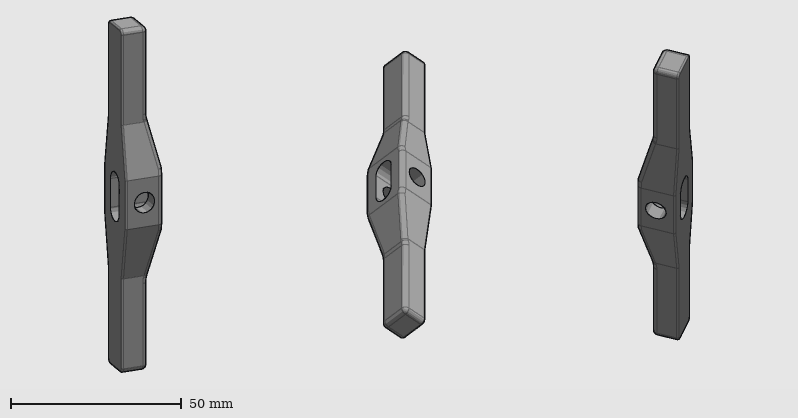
import cadquery as cq
import math

length = 108.0
hub_width = 15.9
hub_depth = 12.1
handle_width = 10.3
handle_depth = 8.2

side_hub_end = 7.7
side_handle_start = 24.2
back_hub_end = 9.6
back_handle_start = 25.8

hole_diameter = 6.4
slot_width = hole_diameter
slot_length = 15.4

edge_radius = 1.5
front_edge_radius = 0.5
back_blend_radius = 6.5

half_length = length / 2
through_length = 2 * hub_width


def tapered_sides():
    """Front outline with a wide hub tapering to two handles, extruded to the hub depth."""
    quarter = [
        (hub_width / 2, side_hub_end),
        (handle_width / 2, side_handle_start),
        (handle_width / 2, half_length),
    ]
    right = [(x, -z) for x, z in reversed(quarter)] + quarter
    left = [(-x, -z) for x, z in right]
    return cq.Workplane("XZ").polyline(right + left).close().extrude(-hub_depth)


def tapered_back():
    """Side outline with a flat front and a raised hub at the back, wider than the bar."""
    upper = [
        (hub_depth, back_hub_end),
        (handle_depth, back_handle_start),
        (handle_depth, half_length),
    ]
    back = [(y, -z) for y, z in reversed(upper)] + upper
    front = [(0, half_length), (0, -half_length)]
    body = cq.Workplane("YZ").polyline(back + front).close().extrude(hub_width, both=True)
    bends = [
        edge for edge in body.edges("|X").vals()
        if math.isclose(abs(edge.Center().z), back_handle_start, abs_tol=0.001)
    ]
    return body.newObject(bends).fillet(back_blend_radius)


def round_edges(bar):
    """Round the end corners, then the complete back and front rims."""
    bar = bar.faces("<Z or >Z").edges("|Y").fillet(edge_radius)
    back_faces = [face for face in bar.faces().vals() if face.normalAt().y > 0.5]
    back_edges = [edge for face in back_faces for edge in face.Edges()]
    inner_edges = [
        edge for edge in back_edges
        if edge.geomType() == "LINE"
        and abs(edge.tangentAt(0).x) > 0.99
        and abs(edge.Center().z) < half_length - edge_radius
    ]
    rim = [
        edge for edge in back_edges
        if not any(edge.isSame(inner) for inner in inner_edges)
    ]
    bar = bar.newObject(rim).fillet(edge_radius)
    return bar.faces("<Y").edges().fillet(front_edge_radius)


def cross_hole():
    """Round hole across the hub, midway through its depth."""
    hole = cq.Workplane("YZ").center(hub_depth / 2, 0).circle(hole_diameter / 2)
    return hole.extrude(through_length, both=True)


def hub_slot():
    """Upright slot from the front through the back of the hub."""
    slot = cq.Workplane("XZ").slot2D(slot_length, slot_width, 90)
    return slot.extrude(through_length, both=True)


bar = round_edges(tapered_sides().intersect(tapered_back()))
result = bar.cut(cross_hole()).cut(hub_slot())